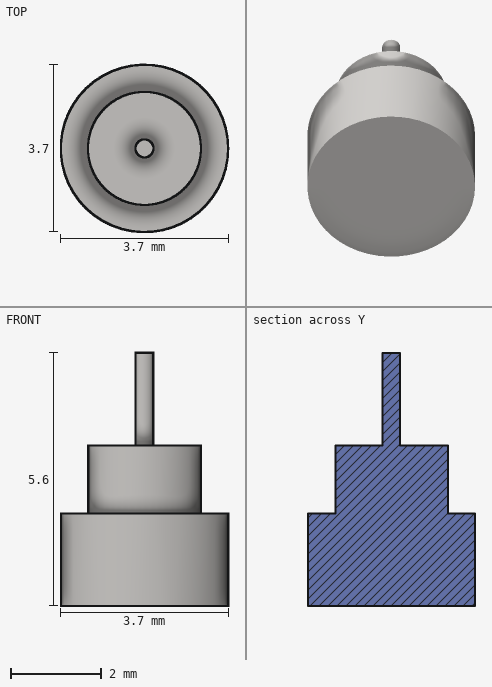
import cadquery as cq

total_height = 5.6
base_height = 2.05
collar_height = 1.5
pin_height = total_height - base_height - collar_height

base_diameter = 3.7
collar_diameter = 2.5
pin_diameter = 0.4


def add_cylinder(body, diameter, height):
    """Stack a centred cylinder on the top face of the body."""
    return body.faces(">Z").workplane().circle(diameter / 2).extrude(height)


base = cq.Workplane("XY").circle(base_diameter / 2).extrude(base_height)

with_collar = add_cylinder(base, collar_diameter, collar_height)
result = add_cylinder(with_collar, pin_diameter, pin_height)